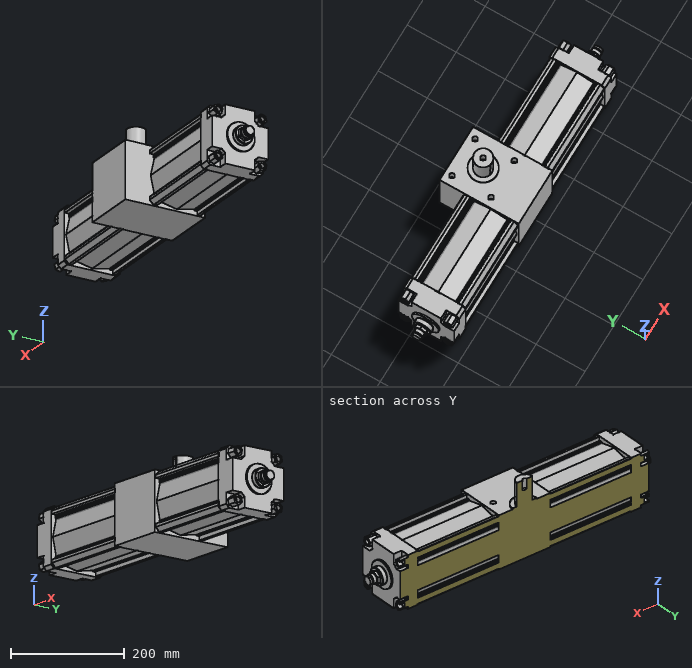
import cadquery as cq
import math


HOUSING_LENGTH = 116.0
HOUSING_FRONT = 57.25
HOUSING_DEPTH = 162.0
HOUSING_HEIGHT = 114.5

SHAFT_Y = 49.75
SHAFT_DIAMETER = 36.0
SHAFT_TOP = 108.75
COLLAR_DIAMETER = 55.0
COLLAR_HEIGHT = 2.0
KEYWAY_WIDTH = 10.0
KEYWAY_DEPTH = 5.0
KEYWAY_MARGIN = 2.0

DRILL_DIAMETER = 10.0
DRILL_DEPTH = 20.0
DRILL_POINT_ANGLE = 118.0
MOUNT_HOLE_PITCH = 80.0

CAP_SIZE = 114.0
CAP_INNER_X = 240.0
CAP_LENGTH = 40.5
CAP_CHAMFER = 6.5
NOTCH_SIZE = 27.0
NOTCH_DEPTH = 18.0
NOTCH_CHAMFER = 7.5

TIE_ROD_OFFSET = 44.6
NUT_DIAMETER = 19.0
NUT_LENGTH = NOTCH_DEPTH
NUT_TURN = 17.0
NUT_HOLE_DIAMETER = 10.0
NUT_HOLE_DEPTH = 10.0

TUBE_HALF = 55.5
TUBE_CHAMFER = 8.0
RIDGE_HEIGHT = 53.5
VALLEY_HEIGHT = 46.5
VALLEY_POSITION = 32.5
LEDGE_WIDTH = 2.0
LIP_HEIGHT = 48.2
GROOVE_HEIGHT = 47.0
GROOVE_WIDTH = 2.2
LOBE_POSITION = 41.5

BOSS_DIAMETER = 55.0
BOSS_END_X = 284.0
BUSHING_DIAMETER = 35.0
BUSHING_EDGE_DIAMETER = 33.33
BUSHING_CHAMFER_LENGTH = 1.2
BUSHING_END_X = 295.3
LOCKNUT_DIAMETER = 26.0
LOCKNUT_TURN = 90.0
LOCKNUT_END_X = 301.5
SCREW_DIAMETER = 19.0
SCREW_TIP_DIAMETER = 17.32
SCREW_SHOULDER_X = 309.0
SCREW_TIP_X = 311.0
SCREW_END_X = 315.5

TOP = HOUSING_HEIGHT / 2
CAP_OUTER_X = CAP_INNER_X + CAP_LENGTH
SIDES = (-1, 1)
CORNERS = [(sy, sz) for sy in SIDES for sz in SIDES]


def yz_plane(x):
    """Sketch plane across the cylinder axis: local x is Y, local y is Z, normal is +X."""
    return cq.Workplane("YZ", origin=(x, 0, 0))


def hexagon(radius, first_angle):
    """Corner points of a regular hexagon about the origin."""
    angles = [math.radians(first_angle + 60 * i) for i in range(6)]
    return [(radius * math.cos(a), radius * math.sin(a)) for a in angles]


def drilled_hole(x, y, top):
    """Cutter for a blind hole with a conical drill point, opening upwards."""
    radius = DRILL_DIAMETER / 2
    point = radius / math.tan(math.radians(DRILL_POINT_ANGLE / 2))
    outline = [(0, 0), (radius, 0), (radius, -DRILL_DEPTH), (0, -DRILL_DEPTH - point)]
    cutter = cq.Workplane("XZ").polyline(outline).close().revolve(360, (0, 0, 0), (0, 1, 0))
    return cutter.translate((x, y, top))


def housing():
    center_y = HOUSING_DEPTH / 2 - HOUSING_FRONT
    body = cq.Workplane("XY").box(HOUSING_LENGTH, HOUSING_DEPTH, HOUSING_HEIGHT)
    body = body.translate((0, center_y, 0))
    collar = cq.Workplane("XY", origin=(0, SHAFT_Y, TOP)).circle(COLLAR_DIAMETER / 2).extrude(COLLAR_HEIGHT)
    body = body.union(collar)
    for sx, sy in CORNERS:
        hole_x = sx * MOUNT_HOLE_PITCH / 2
        hole_y = SHAFT_Y + sy * MOUNT_HOLE_PITCH / 2
        body = body.cut(drilled_hole(hole_x, hole_y, TOP))
    return body


def output_shaft():
    radius = SHAFT_DIAMETER / 2
    shaft = cq.Workplane("XY", origin=(0, SHAFT_Y, TOP)).circle(radius).extrude(SHAFT_TOP - TOP)
    keyway_bottom = TOP + COLLAR_HEIGHT + KEYWAY_MARGIN
    keyway_top = SHAFT_TOP - KEYWAY_MARGIN
    keyway = (
        cq.Workplane("XZ", origin=(0, SHAFT_Y - radius + KEYWAY_DEPTH, (keyway_bottom + keyway_top) / 2))
        .slot2D(keyway_top - keyway_bottom, KEYWAY_WIDTH, 90)
        .extrude(KEYWAY_DEPTH)
    )
    return shaft.cut(keyway).cut(drilled_hole(0, SHAFT_Y, SHAFT_TOP))


def tube():
    """Ridged tube with a chamfered lobe along each corner."""
    slope_end = VALLEY_POSITION + LEDGE_WIDTH + LIP_HEIGHT - VALLEY_HEIGHT
    groove_start = LOBE_POSITION - GROOVE_WIDTH
    half_side = [
        (VALLEY_POSITION, VALLEY_HEIGHT),
        (VALLEY_POSITION + LEDGE_WIDTH, VALLEY_HEIGHT),
        (slope_end, LIP_HEIGHT),
        (groove_start, LIP_HEIGHT),
        (groove_start, GROOVE_HEIGHT),
        (LOBE_POSITION, GROOVE_HEIGHT),
        (LOBE_POSITION, TUBE_HALF),
        (TUBE_HALF - TUBE_CHAMFER, TUBE_HALF),
    ]
    mirrored = [(-along, height) for along, height in reversed(half_side)]
    side = mirrored + [(0, RIDGE_HEIGHT)] + half_side
    outline = []
    for quarter in range(4):
        turn = -math.pi / 2 * quarter
        for along, height in side:
            y = along * math.cos(turn) - height * math.sin(turn)
            z = along * math.sin(turn) + height * math.cos(turn)
            outline.append((y, z))
    start = HOUSING_LENGTH / 2
    return yz_plane(start).polyline(outline).close().extrude(CAP_INNER_X - start)


def end_cap():
    cap = yz_plane(CAP_INNER_X).rect(CAP_SIZE, CAP_SIZE).extrude(CAP_LENGTH)
    cap = cap.edges("|X").chamfer(CAP_CHAMFER)
    notch_center = CAP_SIZE / 2
    for sy, sz in CORNERS:
        notch = (
            yz_plane(CAP_OUTER_X - NOTCH_DEPTH)
            .center(sy * notch_center, sz * notch_center)
            .rect(2 * NOTCH_SIZE, 2 * NOTCH_SIZE)
            .extrude(NOTCH_DEPTH)
            .edges("|X")
            .chamfer(NOTCH_CHAMFER)
        )
        cap = cap.cut(notch)
    return cap


def tie_rod_nut(sy, sz):
    start = CAP_OUTER_X - NUT_LENGTH
    turn = -NUT_TURN * sy * sz
    nut = yz_plane(start).polyline(hexagon(NUT_DIAMETER / 2, turn)).close().extrude(NUT_LENGTH)
    hole = yz_plane(CAP_OUTER_X).circle(NUT_HOLE_DIAMETER / 2).extrude(-NUT_HOLE_DEPTH)
    return nut.cut(hole).translate((0, sy * TIE_ROD_OFFSET, sz * TIE_ROD_OFFSET))


def adjusting_screw():
    """Stepped boss, bushing and screw turned about the X axis, with a hexagonal locknut."""
    turned_steps = [
        (CAP_OUTER_X, BOSS_DIAMETER),
        (BOSS_END_X, BOSS_DIAMETER),
        (BOSS_END_X, BUSHING_EDGE_DIAMETER),
        (BOSS_END_X + BUSHING_CHAMFER_LENGTH, BUSHING_DIAMETER),
        (BUSHING_END_X - BUSHING_CHAMFER_LENGTH, BUSHING_DIAMETER),
        (BUSHING_END_X, BUSHING_EDGE_DIAMETER),
        (BUSHING_END_X, SCREW_DIAMETER),
        (SCREW_SHOULDER_X, SCREW_DIAMETER),
        (SCREW_TIP_X, SCREW_TIP_DIAMETER),
        (SCREW_END_X, SCREW_TIP_DIAMETER),
    ]
    outline = [(x, diameter / 2) for x, diameter in turned_steps]
    outline = [(CAP_OUTER_X, 0)] + outline + [(SCREW_END_X, 0)]
    turned = cq.Workplane("XY").polyline(outline).close().revolve(360, (0, 0, 0), (1, 0, 0))
    locknut_outline = hexagon(LOCKNUT_DIAMETER / 2, LOCKNUT_TURN)
    locknut = yz_plane(BUSHING_END_X).polyline(locknut_outline).close().extrude(LOCKNUT_END_X - BUSHING_END_X)
    return turned.union(locknut)


def cylinder():
    """One complete cylinder on the +X side."""
    body = tube().union(end_cap()).union(adjusting_screw())
    for sy, sz in CORNERS:
        body = body.union(tie_rod_nut(sy, sz))
    return body


right_cylinder = cylinder()
left_cylinder = right_cylinder.mirror("YZ")
result = housing().union(output_shaft()).union(right_cylinder).union(left_cylinder)